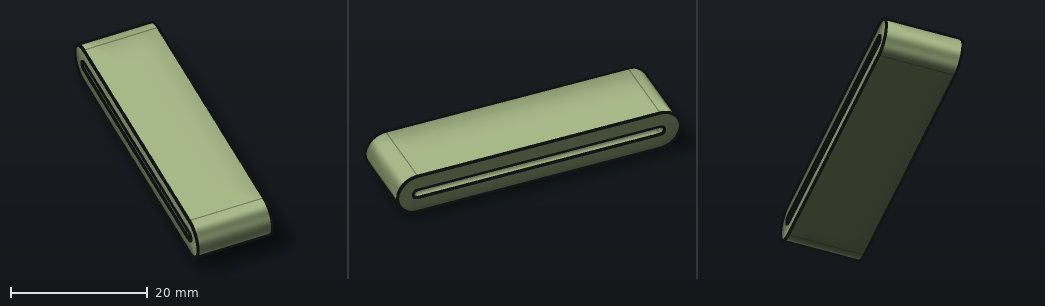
import cadquery as cq

length = 45.2
depth = 12.0
height = 6.5

slot_height = 1.3
wall = (height - slot_height) / 2
slot_length = length - 2 * wall

edge_chamfer = 0.1


def round_ended_bar(bar_length, bar_height):
    """Bar with semicircular ends, centred on the origin and running along Y."""
    profile = cq.Workplane("XZ").slot2D(bar_length, bar_height)
    return profile.extrude(depth / 2, both=True)


body = round_ended_bar(length, height)
slot = round_ended_bar(slot_length, slot_height)

sleeve = body.cut(slot)
result = sleeve.faces("<Y or >Y").edges().chamfer(edge_chamfer)